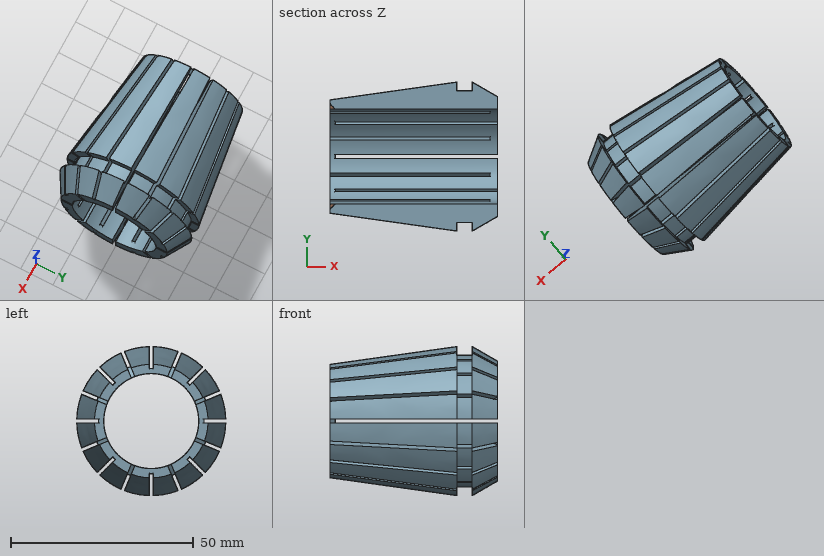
import cadquery as cq
import math

length = 46.0
max_diameter = 41.0
max_radius = max_diameter / 2
bore_radius = 13.0
body_taper = 8.0
head_taper = 30.0

groove_start = 34.85
groove_end = 39.05
groove_radius = 18.12

slots_per_end = 8
slot_pitch = 360 / slots_per_end
slot_width = 1.0

small_end_web_radius = 14.5
small_end_web_slope = 45.0
large_end_web_radius = 16.0
large_end_web_slope = 55.0

overshoot = 2.3

small_end_radius = max_radius - groove_start * math.tan(math.radians(body_taper))
large_end_radius = max_radius - (length - groove_end) * math.tan(math.radians(head_taper))


def make_body():
    """Revolve the half section around the X axis."""
    section = [
        (0, bore_radius),
        (0, small_end_radius),
        (groove_start, max_radius),
        (groove_start, groove_radius),
        (groove_end, groove_radius),
        (groove_end, max_radius),
        (length, large_end_radius),
        (length, bore_radius),
    ]
    return cq.Workplane("XY").polyline(section).close().revolve(360, (0, 0, 0), (1, 0, 0))


def make_slot(web_radius, web_slope):
    """Cutter for one slot on the +Z side, leaving a sloped web at X = 0 and open at X = length."""
    rise = math.tan(math.radians(web_slope))
    inner_radius = bore_radius - overshoot
    outer_radius = max_radius + overshoot
    outline = [
        (length + overshoot, inner_radius),
        ((web_radius - inner_radius) / rise, inner_radius),
        (-overshoot, web_radius + overshoot * rise),
        (-overshoot, outer_radius),
        (length + overshoot, outer_radius),
    ]
    return cq.Workplane("XZ").polyline(outline).close().extrude(slot_width / 2, both=True)


def cut_slots(body, slot, first_angle):
    """Cut one full set of slots, evenly spaced around the X axis."""
    for index in range(slots_per_end):
        angle = first_angle + index * slot_pitch
        body = body.cut(slot.rotate((0, 0, 0), (1, 0, 0), angle))
    return body


slot_from_large_end = make_slot(small_end_web_radius, small_end_web_slope)
slot_from_small_end = (
    make_slot(large_end_web_radius, large_end_web_slope)
    .mirror("YZ")
    .translate((length, 0, 0))
)

result = make_body()
result = cut_slots(result, slot_from_large_end, 0)
result = cut_slots(result, slot_from_small_end, slot_pitch / 2)